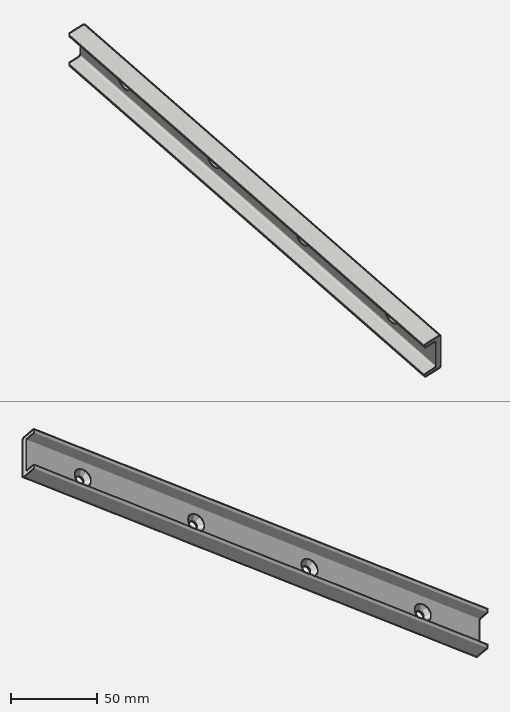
import cadquery as cq

length = 320.0
depth = 12.0
height = 28.0
web_thickness = 4.0
flange_thickness = 3.0
outer_radius = 1.5
inner_radius = 1.3
tip_radius = 0.5

hole_count = 4
hole_pitch = length / hole_count
hole_diameter = 5.5
countersink_diameter = 11.5
countersink_angle = 90

web_face = depth - web_thickness


def make_channel():
    inner_top = height - flange_thickness
    outline = [
        (0, 0),
        (depth, 0),
        (depth, height),
        (0, height),
        (0, inner_top),
        (web_face, inner_top),
        (web_face, flange_thickness),
        (0, flange_thickness),
    ]
    channel = cq.Workplane("YZ").polyline(outline).close().extrude(length)
    channel = channel.edges("|X and >Y").fillet(outer_radius)
    channel = channel.edges("|X and <Y").fillet(tip_radius)
    inner_corners = cq.selectors.BoxSelector(
        (0, web_face - inner_radius, flange_thickness / 2),
        (length, web_face + inner_radius, height - flange_thickness / 2),
    )
    return channel.edges("|X").edges(inner_corners).fillet(inner_radius)


def drill_holes(body):
    hole_points = [((i + 0.5) * hole_pitch, height / 2) for i in range(hole_count)]
    return (
        body.copyWorkplane(cq.Workplane("XZ", origin=(0, web_face, 0)))
        .pushPoints(hole_points)
        .cskHole(hole_diameter, countersink_diameter, countersink_angle)
    )


result = drill_holes(make_channel())